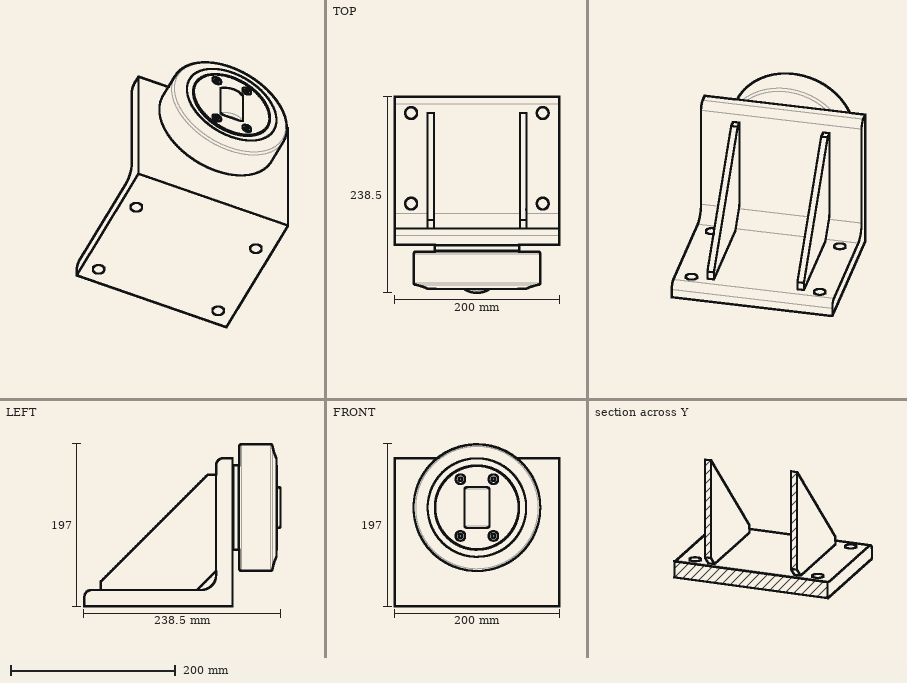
import cadquery as cq
import math

WIDTH = 200.0
LEG = 180.0
THICKNESS = 20.0
ROOT_RADIUS = 18.0
TOE_RADIUS = ROOT_RADIUS / 2

HOLE_DIAMETER = 14.0
HOLE_SPACING_X = 159.8
HOLE_FRONT_Y = 50.0
HOLE_BACK_Y = 160.0

GUSSET_INNER_GAP = 104.0
GUSSET_THICKNESS = 8.0
GUSSET_REACH = 160.0
GUSSET_LAND = 10.0
GUSSET_CORNER_CUT = 23.0

WHEEL_DIAMETER = 154.0
WHEEL_Z = 197.0 - WHEEL_DIAMETER / 2
HUB_DIAMETER = 103.0
HUB_NECK_DIAMETER = 101.4
HUB_NECK_LENGTH = 1.0
WHEEL_BACK = 8.0
WHEEL_FACE = 53.5
EDGE_RADIUS = 2.9
SHOULDER_DEPTH = 48.7
SHOULDER_RADIUS = 74.5
FRONT_EDGE_DEPTH = 46.0
FACE_RADIUS = 59.9
CROWN_BULGE = 0.5

COVER_DIAMETER = 101.4
COVER_BORE = 102.5
COVER_RAISE = 0.5
GROOVE_DEPTH = 1.0

SCREW_SPACING_X = 40.0
SCREW_SPACING_Z = 69.0
SCREW_DIAMETER = 11.7
SCREW_RECESS = 0.2
SOCKET_DIAMETER = 4.5
SOCKET_DEPTH = 2.5

ROLLER_FRONT = 238.5 - LEG
ROLLER_RADIUS = 27.2
ROLLER_LENGTH = 50.0
ROLLER_EDGE_RADIUS = 2.6


def forward_cylinder(diameter, start, end, x=0, z=WHEEL_Z):
    """Cylinder along -Y between two depths in front of the bracket."""
    plane = cq.Workplane("XZ", origin=(x, -start, z))
    return plane.circle(diameter / 2).extrude(end - start)


def make_bracket():
    profile = (
        cq.Workplane("YZ")
        .polyline([(0, 0), (LEG, 0), (LEG, THICKNESS), (THICKNESS, THICKNESS), (THICKNESS, LEG), (0, LEG)])
        .close()
        .extrude(WIDTH / 2, both=True)
    )

    def along_x(y, z):
        return cq.selectors.NearestToPointSelector((0, y, z))

    bracket = profile.edges(along_x(THICKNESS, THICKNESS)).fillet(ROOT_RADIUS)
    bracket = bracket.edges(along_x(LEG, THICKNESS)).fillet(TOE_RADIUS)
    bracket = bracket.edges(along_x(THICKNESS, LEG)).fillet(TOE_RADIUS)

    hole_centres = [
        (side * HOLE_SPACING_X / 2, y)
        for side in (-1, 1)
        for y in (HOLE_FRONT_Y, HOLE_BACK_Y)
    ]
    holes = cq.Workplane("XY").pushPoints(hole_centres).circle(HOLE_DIAMETER / 2).extrude(THICKNESS)
    return bracket.cut(holes)


def make_gusset(inner_x):
    land_end = THICKNESS + GUSSET_LAND
    corner_end = THICKNESS + GUSSET_CORNER_CUT
    outline = [
        (corner_end, THICKNESS),
        (GUSSET_REACH, THICKNESS),
        (GUSSET_REACH, land_end),
        (land_end, GUSSET_REACH),
        (THICKNESS, GUSSET_REACH),
        (THICKNESS, corner_end),
    ]
    plane = cq.Workplane("YZ", origin=(inner_x, 0, 0))
    return plane.polyline(outline).close().extrude(GUSSET_THICKNESS)


def make_wheel():
    """Hub and wheel turned as one profile of (radius, depth)."""
    radius = WHEEL_DIAMETER / 2
    hub_radius = HUB_DIAMETER / 2
    neck_radius = HUB_NECK_DIAMETER / 2
    corner_inset = EDGE_RADIUS * (1 - math.sqrt(0.5))
    return (
        cq.Workplane("XY", origin=(0, 0, WHEEL_Z))
        .moveTo(0, 0)
        .lineTo(neck_radius, 0)
        .lineTo(neck_radius, -HUB_NECK_LENGTH)
        .lineTo(hub_radius, -HUB_NECK_LENGTH)
        .lineTo(hub_radius, HUB_NECK_LENGTH - WHEEL_BACK)
        .lineTo(neck_radius, HUB_NECK_LENGTH - WHEEL_BACK)
        .lineTo(neck_radius, -WHEEL_BACK)
        .lineTo(radius - EDGE_RADIUS, -WHEEL_BACK)
        .threePointArc(
            (radius - corner_inset, -WHEEL_BACK - corner_inset),
            (radius, -WHEEL_BACK - EDGE_RADIUS),
        )
        .lineTo(radius, -FRONT_EDGE_DEPTH)
        .tangentArcPoint((SHOULDER_RADIUS, -SHOULDER_DEPTH), relative=False)
        .sagittaArc((FACE_RADIUS, -WHEEL_FACE), -CROWN_BULGE)
        .lineTo(0, -WHEEL_FACE)
        .close()
        .revolve(360, (0, 0, 0), (0, 1, 0))
    )


def add_cover(wheel):
    cover_face = WHEEL_FACE + COVER_RAISE
    groove_floor = WHEEL_FACE - GROOVE_DEPTH
    wheel = wheel.cut(forward_cylinder(COVER_BORE, groove_floor, WHEEL_FACE))
    wheel = wheel.union(forward_cylinder(COVER_DIAMETER, groove_floor, cover_face))
    for side in (-1, 1):
        for level in (-1, 1):
            x = side * SCREW_SPACING_X / 2
            z = WHEEL_Z + level * SCREW_SPACING_Z / 2
            head_face = cover_face - SCREW_RECESS
            wheel = wheel.cut(forward_cylinder(SCREW_DIAMETER, head_face, cover_face, x, z))
            wheel = wheel.cut(forward_cylinder(SOCKET_DIAMETER, head_face - SOCKET_DEPTH, head_face, x, z))
    return wheel


def make_roller():
    axis_y = ROLLER_RADIUS - ROLLER_FRONT
    bottom_z = WHEEL_Z - ROLLER_LENGTH / 2
    roller = cq.Workplane("XY", origin=(0, axis_y, bottom_z)).circle(ROLLER_RADIUS).extrude(ROLLER_LENGTH)
    roller = roller.faces("<Z or >Z").edges().fillet(ROLLER_EDGE_RADIUS)
    front_half = (
        cq.Workplane("XY", origin=(0, axis_y - ROLLER_RADIUS, bottom_z))
        .rect(2 * ROLLER_RADIUS, 2 * ROLLER_RADIUS)
        .extrude(ROLLER_LENGTH)
    )
    return roller.intersect(front_half)


result = make_bracket()
for gusset_x in (-GUSSET_INNER_GAP / 2 - GUSSET_THICKNESS, GUSSET_INNER_GAP / 2):
    result = result.union(make_gusset(gusset_x))
result = result.union(add_cover(make_wheel())).union(make_roller())